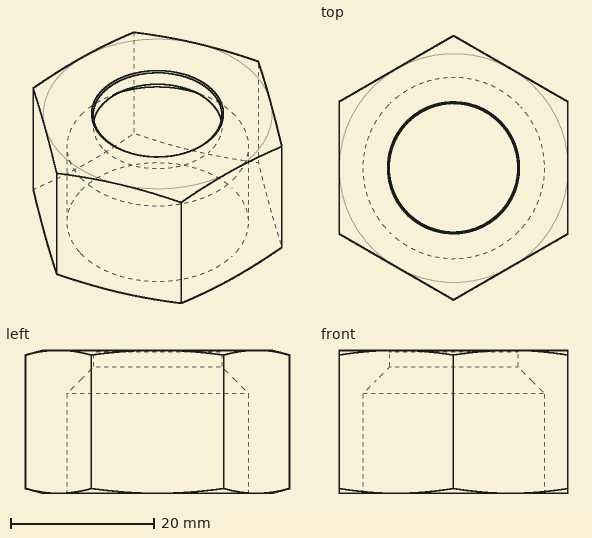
import cadquery as cq
import math

across_corners = 36.95
across_flats = across_corners * math.cos(math.radians(30))
height = 20.0
corner_bevel_angle = 15.0

lip_diameter = 18.0
bore_diameter = 25.4
lip_depth = 2.33
cone_half_angle = 45.0
mouth_chamfer = 0.22

corner_radius = across_corners / 2
flat_radius = across_flats / 2
lip_radius = lip_diameter / 2
bore_radius = bore_diameter / 2
half_height = height / 2


def revolve_profile(points):
    """Revolve (radius, z) points around the Z axis."""
    return cq.Workplane("XZ").polyline(points).close().revolve(360, (0, 0, 0), (0, 1, 0))


def hexagonal_body():
    """Hexagonal prism whose corners are bevelled conically at both ends."""
    prism = (
        cq.Workplane("XY")
        .polygon(6, across_corners)
        .extrude(height)
        .rotate((0, 0, 0), (0, 0, 1), 30)
        .translate((0, 0, -half_height))
    )
    bevel_drop = (corner_radius - flat_radius) * math.tan(math.radians(corner_bevel_angle))
    shoulder_z = half_height - bevel_drop
    envelope = revolve_profile([
        (0, -half_height),
        (flat_radius, -half_height),
        (corner_radius, -shoulder_z),
        (corner_radius, shoulder_z),
        (flat_radius, half_height),
        (0, half_height),
    ])
    return prism.intersect(envelope)


def stepped_bore():
    """Chamfered lip hole at the top, opening through a cone into the wide lower bore."""
    cone_depth = (bore_radius - lip_radius) / math.tan(math.radians(cone_half_angle))
    cone_top_z = half_height - lip_depth
    return revolve_profile([
        (0, -half_height),
        (bore_radius, -half_height),
        (bore_radius, cone_top_z - cone_depth),
        (lip_radius, cone_top_z),
        (lip_radius, half_height - mouth_chamfer),
        (lip_radius + mouth_chamfer, half_height),
        (0, half_height),
    ])


result = hexagonal_body().cut(stepped_bore())